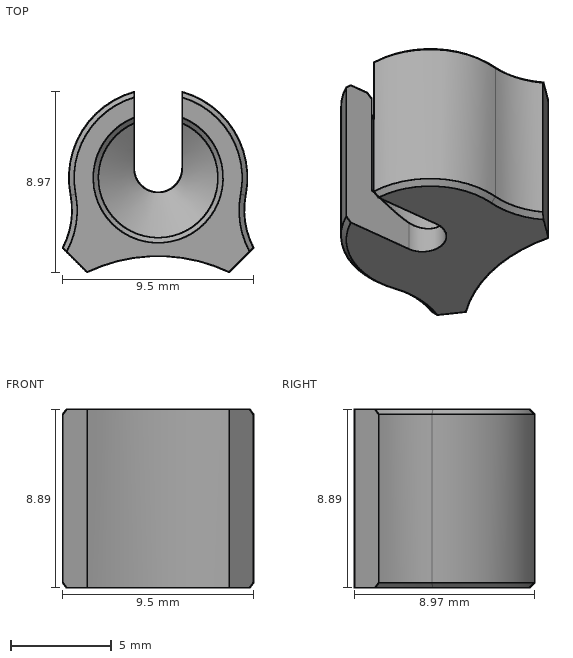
import cadquery as cq
import math

height = 8.89
outer_radius = height / 2
half_width = 4.75
rim_chamfer = 0.27

flank_radius = 4.0
flank_center_y = -1.615

foot_y = -4.69
hollow_top_y = -3.895

bore_radius = 2.97
bore_depth = 6.175
bore_chamfer = 0.26
drill_point_angle = 118.0

slot_width = 2.375
slot_end_y = -0.71

center_distance = outer_radius + flank_radius
flank_center_x = math.sqrt(center_distance**2 - flank_center_y**2)
tangent_x = flank_center_x * outer_radius / center_distance
tangent_y = flank_center_y * outer_radius / center_distance
waist_x = flank_center_x - flank_radius
corner_y = flank_center_y - math.sqrt(flank_radius**2 - (flank_center_x - half_width) ** 2)
foot_x = half_width - (corner_y - foot_y)


def make_body():
    """Extruded outline with both rims chamfered around the round back and flanks."""
    body = (
        cq.Workplane("XY")
        .moveTo(tangent_x, tangent_y)
        .threePointArc((0, outer_radius), (-tangent_x, tangent_y))
        .threePointArc((-waist_x, flank_center_y), (-half_width, corner_y))
        .lineTo(-foot_x, foot_y)
        .threePointArc((0, hollow_top_y), (foot_x, foot_y))
        .lineTo(half_width, corner_y)
        .threePointArc((waist_x, flank_center_y), (tangent_x, tangent_y))
        .close()
        .extrude(height)
    )
    rim_box = cq.selectors.BoxSelector(
        (-2 * half_width, hollow_top_y + rim_chamfer, -0.095),
        (2 * half_width, 2 * outer_radius, height + 0.095),
    )
    return body.faces("|Z").edges("%CIRCLE").edges(rim_box).chamfer(rim_chamfer)


def make_bore():
    """Revolved cutter: chamfered mouth, straight wall and conical floor."""
    floor_z = height - bore_depth
    tip_z = floor_z - bore_radius / math.tan(math.radians(drill_point_angle / 2))
    return (
        cq.Workplane("XZ")
        .moveTo(0, tip_z)
        .lineTo(bore_radius, floor_z)
        .lineTo(bore_radius, height - bore_chamfer)
        .lineTo(bore_radius + bore_chamfer, height)
        .lineTo(0, height)
        .close()
        .revolve(360, (0, 0), (0, 1))
    )


def make_slot():
    """Round-ended slot cutter running out past the back of the body."""
    half_slot = slot_width / 2
    round_center_y = slot_end_y + half_slot
    open_y = outer_radius + slot_width
    return (
        cq.Workplane("XY")
        .moveTo(half_slot, open_y)
        .lineTo(half_slot, round_center_y)
        .threePointArc((0, slot_end_y), (-half_slot, round_center_y))
        .lineTo(-half_slot, open_y)
        .close()
        .extrude(height)
    )


result = make_body().cut(make_bore()).cut(make_slot())